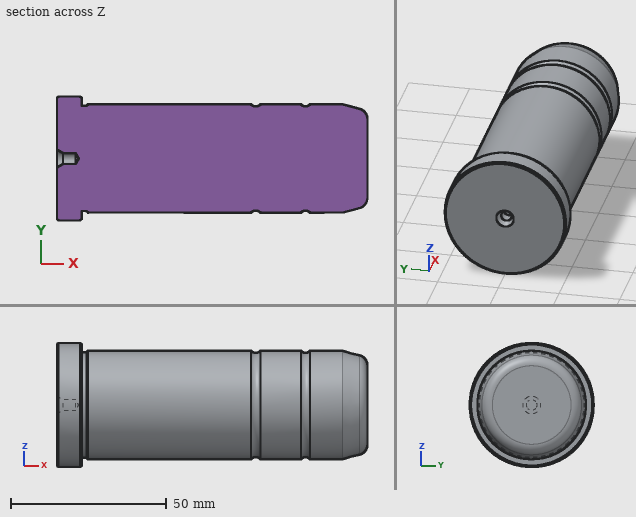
import cadquery as cq
import math

length = 100.0
head_diameter = 40.0
head_length = 8.0
head_chamfer = 0.5
body_diameter = 35.0

neck_depth = 0.5
neck_end = 10.0

groove_centers = (64.0, 80.0)
groove_width = 3.0
groove_radius = 2.0

taper_length = 8.0
taper_angle = math.radians(15)
nose_radius = 3.5

center_mouth_diameter = 5.7
center_drill_diameter = 3.4
countersink_angle = math.radians(60)
center_drill_depth = 6.0
drill_tip_angle = math.radians(120)

head_radius = head_diameter / 2
body_radius = body_diameter / 2


def revolve_about_x(profile):
    return profile.close().revolve(360, (0, 0, 0), (1, 0, 0))


def make_pin():
    neck_radius = body_radius - neck_depth
    taper_start = length - taper_length

    nose_center_x = length - nose_radius
    tangent_x = nose_center_x + nose_radius * math.sin(taper_angle)
    tangent_y = body_radius - (tangent_x - taper_start) * math.tan(taper_angle)
    nose_center_y = tangent_y - nose_radius * math.cos(taper_angle)
    middle_angle = (math.pi / 2 - taper_angle) / 2
    nose_middle = (
        nose_center_x + nose_radius * math.cos(middle_angle),
        nose_center_y + nose_radius * math.sin(middle_angle),
    )

    profile = (
        cq.Workplane("XY")
        .lineTo(0, head_radius - head_chamfer)
        .lineTo(head_chamfer, head_radius)
        .lineTo(head_length - head_chamfer, head_radius)
        .lineTo(head_length, head_radius - head_chamfer)
        .lineTo(head_length, neck_radius)
        .lineTo(neck_end - neck_depth, neck_radius)
        .lineTo(neck_end, body_radius)
        .lineTo(taper_start, body_radius)
        .lineTo(tangent_x, tangent_y)
        .threePointArc(nose_middle, (length, nose_center_y))
        .lineTo(length, 0)
    )
    return revolve_about_x(profile)


def make_groove_ring(center_x):
    """Ring with a round cross-section that cuts a groove of the given width."""
    ring_radius = body_radius + math.sqrt(groove_radius**2 - (groove_width / 2) ** 2)
    return cq.Workplane("XY").add(
        cq.Solid.makeTorus(ring_radius, groove_radius, cq.Vector(center_x, 0, 0), cq.Vector(1, 0, 0))
    )


def make_center_hole():
    mouth_radius = center_mouth_diameter / 2
    drill_radius = center_drill_diameter / 2
    countersink_depth = (mouth_radius - drill_radius) / math.tan(countersink_angle / 2)
    tip_length = drill_radius / math.tan(drill_tip_angle / 2)
    profile = (
        cq.Workplane("XY")
        .lineTo(0, mouth_radius)
        .lineTo(countersink_depth, drill_radius)
        .lineTo(center_drill_depth, drill_radius)
        .lineTo(center_drill_depth + tip_length, 0)
    )
    return revolve_about_x(profile)


result = make_pin().cut(make_center_hole())
for groove_center in groove_centers:
    result = result.cut(make_groove_ring(groove_center))